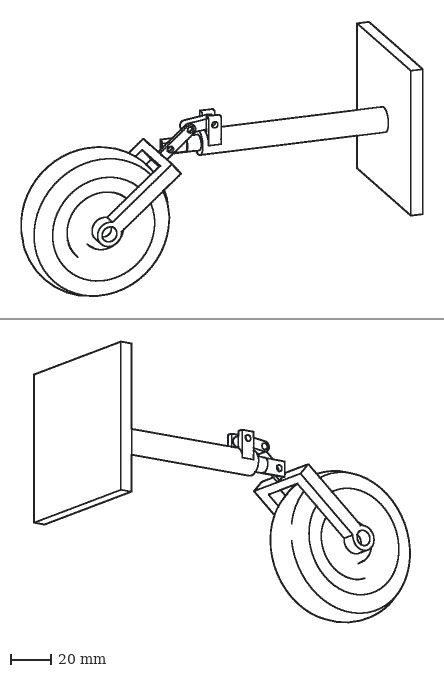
import cadquery as cq
import math


plate_side = 76.3
plate_thickness = 6.4
strut_radius = 6.4
strut_end_y = -104.8

clevis_back_y = -95.0
clevis_length = 6.8
clevis_height = 14.5
lug_edge_fillet = 0.5
link_width = 5.5
link_pin_y = clevis_back_y - clevis_length / 2
link_pin_z = 10.5
pin_hole_radius = 1.5
pivot_end_width = 5.4
pivot_end_radius = pivot_end_width / 2

rod_radius = 4.0
tongue_start_y = -112.0
tongue_end_y = -124.9
tongue_x = (-0.2, link_width / 2)
fork_pivot_y = -121.5
arm_thickness = 2.4

overall_length = 199.2
wheel_diameter = 76.3
wheel_radius = wheel_diameter / 2
tyre_width = 24.1
tyre_flat_radius = 30.3
shoulder_radius = 35.9
shoulder_half_width = 9.2
rim_radius = 27.0
wheel_x = tongue_x[1] + arm_thickness / 2
wheel_y = wheel_radius - overall_length
wheel_z = -33.5

pocket_radius = 19.0
edge_fillet = 1.5
foot_fillet = 3.2
pocket_depth = 5.8
hub_radius = 11.0
hub_width = 25.3
axle_hole_diameter = 7.8
axle_hole_radius = axle_hole_diameter / 2

fork_width = 40.8
fork_gap = hub_width
fork_leg_height = 7.4
fork_reach = 46.6
crossbar_thickness = 4.5
fork_boss_radius = 6.4
arm_length = 14.0
fork_pivot_distance = math.hypot(fork_pivot_y - wheel_y, wheel_z)
fork_angle = math.degrees(math.atan2(-wheel_z, fork_pivot_y - wheel_y))
link_front_y = fork_pivot_y + arm_length * math.cos(math.radians(fork_angle))
link_front_z = arm_length * math.sin(math.radians(fork_angle))


def box(x_range, y_range, z_range):
    """Box between the given limits along each axis."""
    sizes = [high - low for low, high in (x_range, y_range, z_range)]
    corner = (x_range[0], y_range[0], z_range[0])
    return cq.Workplane("XY").box(*sizes, centered=False).translate(corner)


def cross_cylinder(radius, x_range, y, z):
    """Cylinder along X between the given limits."""
    start = cq.Workplane("YZ", origin=(x_range[0], y, z))
    return start.circle(radius).extrude(x_range[1] - x_range[0])


def centered(width, middle=0.0):
    """Limits of a stretch of the given width about its middle."""
    return (middle - width / 2, middle + width / 2)


def make_plate():
    return box(centered(plate_side), (-plate_thickness, 0), centered(plate_side))


def clevis_block():
    """Block that the clevis is cut from, set into the upper half of the strut."""
    clevis_y = (clevis_back_y - clevis_length, clevis_back_y)
    return box(centered(2 * strut_radius), clevis_y, (0, clevis_height))


def make_strut():
    """Round strut with a recess that the clevis sits in."""
    strut = cq.Workplane("XZ", origin=(0, -plate_thickness, 0)).circle(strut_radius)
    strut = strut.extrude(-plate_thickness - strut_end_y)
    return strut.cut(clevis_block())


def make_clevis():
    """Two lugs on a common base, with a slot for the link and rounded top edges."""
    slot_y = (clevis_back_y - clevis_length, clevis_back_y)
    slot = box(centered(link_width), slot_y, (strut_radius, clevis_height))
    clevis = clevis_block().cut(slot)
    clevis = clevis.faces(">Z").edges("|Y").fillet(lug_edge_fillet)
    hole_x = centered(2 * strut_radius)
    return clevis.cut(cross_cylinder(pin_hole_radius, hole_x, link_pin_y, link_pin_z))


def make_link():
    """Flat link with round ends, from the lugs to the end of the fork arm."""
    length = math.hypot(link_front_y - link_pin_y, link_front_z - link_pin_z)
    angle = math.degrees(math.atan2(link_pin_z - link_front_z, link_pin_y - link_front_y))
    link = cq.Workplane("YZ").slot2D(length + pivot_end_width, pivot_end_width)
    link = link.pushPoints([(-length / 2, 0), (length / 2, 0)]).circle(pin_hole_radius)
    link = link.extrude(link_width / 2, both=True)
    link = link.rotate((0, 0, 0), (1, 0, 0), angle)
    return link.translate((0, (link_pin_y + link_front_y) / 2, (link_pin_z + link_front_z) / 2))


def make_rod():
    """Round rod with its end cut down to a tongue between two flats."""
    rod = cq.Workplane("XZ", origin=(0, strut_end_y, 0)).circle(rod_radius)
    rod = rod.extrude(strut_end_y - tongue_end_y)
    tongue_y = (tongue_end_y, tongue_start_y)
    for waste_x in ((-rod_radius, tongue_x[0]), (tongue_x[1], rod_radius)):
        rod = rod.cut(box(waste_x, tongue_y, centered(2 * rod_radius)))
    return rod.cut(cross_cylinder(pin_hole_radius, tongue_x, fork_pivot_y, 0))


def make_fork():
    """Fork with its arm, built level along +Y from the axle and then turned into place."""
    fork_x = centered(fork_width)
    gap_x = centered(fork_gap)
    arm_x = centered(arm_thickness)
    fork = box(fork_x, (0, fork_reach), centered(fork_leg_height))
    fork = fork.union(cross_cylinder(fork_boss_radius, fork_x, 0, 0))
    gap_y = (-fork_boss_radius, fork_reach - crossbar_thickness)
    fork = fork.cut(box(gap_x, gap_y, centered(2 * fork_boss_radius)))
    fork = fork.cut(cross_cylinder(axle_hole_radius, fork_x, 0, 0))

    arm_end = fork_pivot_distance + arm_length
    arm = box(arm_x, (fork_reach, arm_end), centered(pivot_end_width))
    arm = arm.union(cross_cylinder(pivot_end_radius, arm_x, arm_end, 0))
    for hole_y in (fork_pivot_distance, arm_end):
        arm = arm.cut(cross_cylinder(pin_hole_radius, arm_x, hole_y, 0))

    fork = fork.union(arm).rotate((0, 0, 0), (1, 0, 0), fork_angle)
    return fork.translate((wheel_x, wheel_y, wheel_z))


def spin(profile):
    """Revolve a closed profile about the X axis and move it to the axle."""
    solid = profile.close().revolve(360, (0, 0, 0), (1, 0, 0))
    return solid.translate((wheel_x, wheel_y, wheel_z))


def make_tyre():
    """Tyre with flat sides, round shoulders tangent to them and a round crown."""
    side = tyre_width / 2
    run = side - shoulder_half_width
    rise = shoulder_radius - tyre_flat_radius
    bend_radius = (run**2 + rise**2) / (2 * run)
    half_turn = math.asin(rise / bend_radius) / 2
    middle_x = side - bend_radius * (1 - math.cos(half_turn))
    middle_radius = tyre_flat_radius + bend_radius * math.sin(half_turn)
    profile = (
        cq.Workplane("XY")
        .moveTo(-side, rim_radius)
        .lineTo(-side, tyre_flat_radius)
        .threePointArc((-middle_x, middle_radius), (-shoulder_half_width, shoulder_radius))
        .threePointArc((0, wheel_radius), (shoulder_half_width, shoulder_radius))
        .threePointArc((middle_x, middle_radius), (side, tyre_flat_radius))
        .lineTo(side, rim_radius)
    )
    return spin(profile)


def make_rim():
    """Rim with a ring-shaped, filleted pocket around the hub on each side."""
    side = tyre_width / 2
    hub_end = hub_width / 2
    floor = side - pocket_depth
    profile = (
        cq.Workplane("XY")
        .moveTo(0, axle_hole_radius)
        .lineTo(-hub_end, axle_hole_radius)
        .lineTo(-hub_end, hub_radius - edge_fillet)
        .tangentArcPoint((edge_fillet, edge_fillet))
        .lineTo(-floor - foot_fillet, hub_radius)
        .tangentArcPoint((foot_fillet, foot_fillet))
        .lineTo(-floor, pocket_radius - foot_fillet)
        .tangentArcPoint((-foot_fillet, foot_fillet))
        .lineTo(edge_fillet - side, pocket_radius)
        .tangentArcPoint((-edge_fillet, edge_fillet))
        .lineTo(-side, rim_radius)
        .lineTo(0, rim_radius)
    )
    half = spin(profile)
    return half.union(half.mirror("YZ", (wheel_x, 0, 0)))


plate = make_plate()
strut = make_strut()
clevis = make_clevis()
link = make_link()
rod = make_rod()
fork = make_fork()
tyre = make_tyre()
rim = make_rim()

bodies = [plate, strut, clevis, link, rod, fork, tyre, rim]
result = cq.Compound.makeCompound([body.solids().val() for body in bodies])